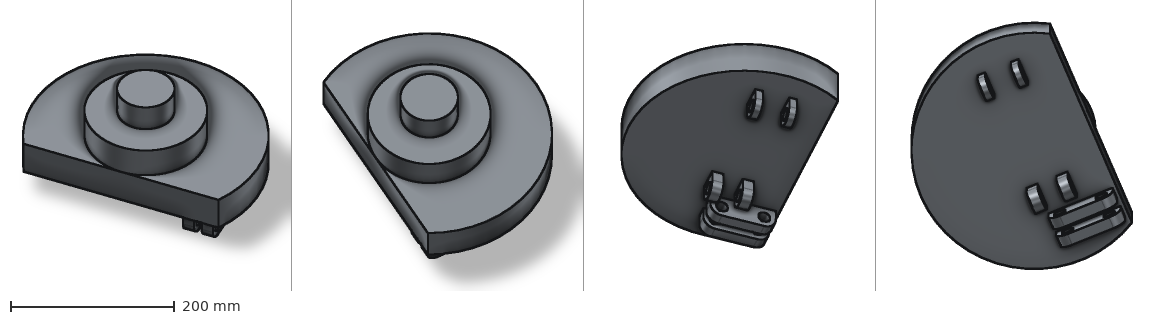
import cadquery as cq

base_radius = 150
base_height = 45
flat_y = -base_radius / 2
disc_radius = base_radius / 2
disc_height = 40.0
boss_radius = 35.0
total_height = 150

lug_radius = 15
lug_drop = 2 * lug_radius
boss_height = total_height - lug_drop - base_height - disc_height

pair_outer_y = 27
left_pair_x = -100.0
left_pair_thickness = 10.0
right_pair_x = 55.0
right_pair_thickness = 14.5
pair_hole_diameter = 16.0

wide_lug_faces_x = (80.0, 105)
wide_lug_thickness = 15
wide_hole_spacing = 55.0
wide_hole_diameter = 15


def lug_profile(plane, span, hole_diameter):
    """Outline and holes of a round-bottomed lug; the local origin is its first hole,
    with the second end centre a distance `span` along local X."""
    left = -lug_radius
    right = span + lug_radius
    profile = (
        plane.moveTo(left, lug_radius)
        .lineTo(left, 0)
        .radiusArc((0, -lug_radius), -lug_radius)
    )
    if span > 0:
        profile = profile.lineTo(span, -lug_radius)
    profile = (
        profile.radiusArc((right, 0), -lug_radius)
        .lineTo(right, lug_radius)
        .close()
    )
    centers = [(0, 0), (span, 0)] if span > 0 else [(0, 0)]
    return profile.pushPoints(centers).circle(hole_diameter / 2)


def lug_pair(center_x, thickness):
    """Two facing lugs with equal outer faces on both sides of Y = 0."""
    plane = cq.Workplane("XZ", origin=(center_x, -pair_outer_y, -lug_radius))
    lug = lug_profile(plane, 0, pair_hole_diameter).extrude(-thickness)
    return lug.union(lug.mirror("XZ"))


def wide_lug(face_x):
    """Lug running along Y, from the hole at -Y to the hole at Y = 0."""
    plane = cq.Workplane("YZ", origin=(face_x, -wide_hole_spacing, -lug_radius))
    profile = lug_profile(plane, wide_hole_spacing, wide_hole_diameter)
    return profile.extrude(wide_lug_thickness)


keep_box = cq.Workplane("XY").box(
    2 * base_radius, base_radius - flat_y, base_height, centered=(True, False, False)
).translate((0, flat_y, 0))
body = cq.Workplane("XY").circle(base_radius).extrude(base_height).intersect(keep_box)

body = body.union(
    cq.Workplane("XY").workplane(offset=base_height).circle(disc_radius).extrude(disc_height)
)
body = body.union(
    cq.Workplane("XY")
    .workplane(offset=base_height + disc_height)
    .circle(boss_radius)
    .extrude(boss_height)
)

body = body.union(lug_pair(left_pair_x, left_pair_thickness))
body = body.union(lug_pair(right_pair_x, right_pair_thickness))
for face_x in wide_lug_faces_x:
    body = body.union(wide_lug(face_x))

result = body